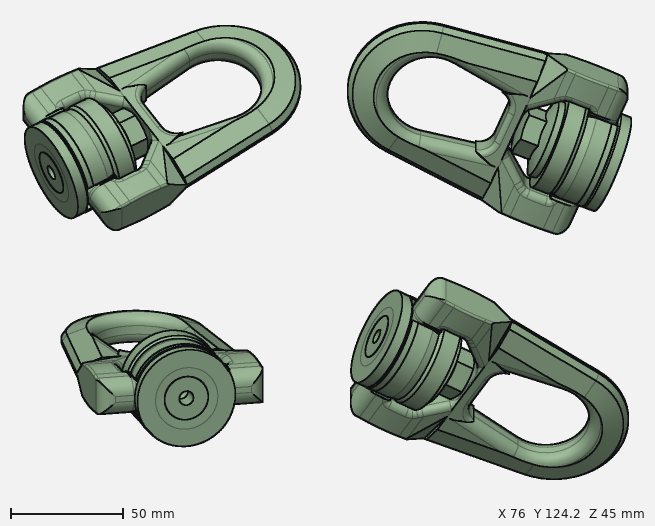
import cadquery as cq
import math


total_length = 124.2
link_half_width = 38.0

hoop_half_thickness = 7.0
hoop_outer_radius = 33.0
hoop_outer_centre_y = total_length - hoop_outer_radius
hoop_base_y = 47.0
shoulder_corner_y = 48.8
hoop_nose_half_height = 0.7
hoop_nose_rise = 3.0
hoop_nose_inset = 2.2
hoop_slope_inset = 9.3
hoop_overrun = 24.8
eye_radius = 19.3
eye_centre_y = 87.0
eye_flank_angle = 8.9
eye_rounding = 5.0

web_top_y = 53.0
web_shoulder_y = 50.3
web_half_width = 18.5
web_tip_half_width = 15.4
web_tip_y = 59.0
web_corner_radius = 7.6
web_rounding = 2.6

ramp_end_y = 37.4
ramp_end_half_thickness = 8.2
crown_y = 25.5
crown_half_thickness = 9.6
crown_radius = 74.5
leg_end_y = 6.1
leg_nose_radius = 7.0
leg_nose_flat_half = 1.4
leg_nose_half_thickness = leg_nose_radius + leg_nose_flat_half
leg_nose_y = leg_end_y + leg_nose_radius
leg_edge_rounding = 1.0
shoulder_facet_inner_x = 18.1

opening_half_width = 23.1
opening_bottom_y = 20.1
opening_top_y = 46.6
opening_flank_top_x = 10.1
opening_flank_bottom_y = 31.7
opening_top_radius = 6.2
opening_side_radius = 5.0
opening_corner_radius = 1.2
opening_rounding = 3.2

trunnion_half_thickness = 7.7
trunnion_root_x = 22.6
trunnion_neck_x = 21.2
trunnion_tip_x = 14.9

flange_radius = 22.5
barrel_radius = 22.4
groove_radius = 21.6
housing_top_y = 30.0
flange_bottom_y = 21.9
groove_y = 20.1
barrel_top_y = 16.4
rim_top_y = 9.0
housing_bottom_y = 6.0

base_radius = 22.4
base_chamfer_y = 5.0
base_chamfer = 1.1
dish_radius = 14.23
dish_depth = 0.1

shank_radius = 10.0
bolt_hole_radius = 10.0
bolt_flange_radius = 18.0
bolt_flange_top_y = 33.0
bolt_cone_angle = 20.0
hex_across_flats = 19.9
hex_corner_radius = hex_across_flats / math.sqrt(3)
hex_corner_top_y = 43.9
bolt_top_y = 45.6
bore_radius = 3.2
bore_depth = 10.0
drill_point_half_angle = 59.0


def slab_below(y):
    """Large block that fills everything below a given Y."""
    return cq.Workplane("XY").box(
        2 * total_length, total_length, total_length, centered=(True, False, True)
    ).translate((0, y - total_length, 0))


def both_sides(points):
    """Close a half outline with its mirror image across the Y axis."""
    return points + [(-x, y) for x, y in reversed(points)]


def hoop_outline():
    """Outer outline: a top arc with two tangent flanks that widen downward."""
    lean = math.radians(flank_lean())
    tangent_x = hoop_outer_radius * math.cos(lean)
    tangent_y = hoop_outer_centre_y + hoop_outer_radius * math.sin(lean)
    bottom_y = hoop_base_y - hoop_overrun
    bottom_x = tangent_x + (tangent_y - bottom_y) * math.tan(lean)
    return (
        cq.Workplane("XY")
        .moveTo(bottom_x, bottom_y)
        .lineTo(tangent_x, tangent_y)
        .threePointArc((0, total_length), (-tangent_x, tangent_y))
        .lineTo(-bottom_x, bottom_y)
        .close()
    )


def flank_lean():
    """Angle from Y, in degrees, of the outer flank tangent to the top arc."""
    drop = hoop_outer_centre_y - shoulder_corner_y
    distance = math.hypot(link_half_width, drop)
    return math.degrees(math.acos(hoop_outer_radius / distance) - math.atan2(drop, link_half_width))


def hoop_rim_half():
    """Upper half of the hoop's outer form: blunt rim, nose and gentle slope."""
    slope_rise = hoop_half_thickness - hoop_nose_half_height - hoop_nose_rise
    nose_taper = math.degrees(math.atan2(hoop_nose_inset, hoop_nose_rise))
    slope_taper = math.degrees(math.atan2(hoop_slope_inset, slope_rise))
    rim = hoop_outline().extrude(hoop_nose_half_height)
    nose = hoop_outline().extrude(hoop_nose_rise, taper=nose_taper)
    nose = nose.translate((0, 0, hoop_nose_half_height))
    slope = nose.faces(">Z").wires().toPending().workplane().extrude(
        slope_rise, taper=slope_taper, combine=False
    )
    return rim.union(nose).union(slope)


def eye_cutter(bottom_y):
    """Prism of the eye: a top arc with tangent flanks that close in downward."""
    lean = math.radians(eye_flank_angle)
    tangent_x = eye_radius * math.cos(lean)
    tangent_y = eye_centre_y - eye_radius * math.sin(lean)
    bottom_x = tangent_x - (tangent_y - bottom_y) * math.tan(lean)
    return (
        cq.Workplane("XY")
        .moveTo(bottom_x, bottom_y)
        .lineTo(tangent_x, tangent_y)
        .threePointArc((0, eye_centre_y + eye_radius), (-tangent_x, tangent_y))
        .lineTo(-bottom_x, bottom_y)
        .close()
        .extrude(hoop_half_thickness, both=True)
    )


def hoop():
    width = 2 * link_half_width
    slab = (
        cq.Workplane("XY")
        .rect(width, 2 * total_length)
        .extrude(hoop_half_thickness, both=True)
        .cut(eye_cutter(hoop_base_y - hoop_overrun))
    )
    eye_rim = cq.selectors.BoxSelector(
        (-eye_radius - 1.2, 0, -total_length), (eye_radius + 1.2, total_length - 1.2, total_length)
    )
    slab = slab.faces("<Z or >Z").edges(eye_rim).fillet(eye_rounding)
    upper = hoop_rim_half()
    form = upper.union(upper.mirror("XY"))
    trim = cq.Workplane("XY").box(
        width, total_length, total_length, centered=(True, False, True)
    ).translate((0, hoop_base_y, 0))
    bridge_space = cq.Workplane("XY").rect(2 * web_half_width, 2 * web_shoulder_y)
    trim = trim.cut(bridge_space.extrude(total_length, both=True))
    return slab.intersect(form).intersect(trim)


def web():
    """Cross bar under the eye, with horns that run up the flanks."""
    half = [
        (web_half_width, web_shoulder_y),
        (web_tip_half_width, web_tip_y),
    ]
    cutter = eye_cutter(web_top_y).edges("|Z and <Y").fillet(web_corner_radius)
    bar = (
        cq.Workplane("XY")
        .polyline(both_sides(half))
        .close()
        .extrude(hoop_half_thickness, both=True)
        .cut(cutter)
    )
    middle = cq.selectors.BoxSelector(
        (-web_tip_half_width, web_top_y - 0.1, -total_length),
        (web_tip_half_width, web_tip_y, total_length),
    )
    return bar.faces("<Z or >Z").edges(middle).fillet(web_rounding)


def leg_profile():
    """Side profile of a leg in Y and Z: ramp, ridged flank and rounded nose."""
    nose_mid = leg_nose_radius * math.sqrt(0.5)
    mid_y = leg_nose_y - nose_mid
    mid_z = leg_nose_flat_half + nose_mid
    return (
        cq.Workplane("YZ", origin=(-link_half_width, 0, 0))
        .moveTo(web_top_y, hoop_half_thickness)
        .lineTo(hoop_base_y, hoop_half_thickness)
        .lineTo(ramp_end_y, ramp_end_half_thickness)
        .lineTo(crown_y, crown_half_thickness)
        .lineTo(leg_nose_y, leg_nose_half_thickness)
        .threePointArc((mid_y, mid_z), (leg_end_y, leg_nose_flat_half))
        .lineTo(leg_end_y, -leg_nose_flat_half)
        .threePointArc((mid_y, -mid_z), (leg_nose_y, -leg_nose_half_thickness))
        .lineTo(crown_y, -crown_half_thickness)
        .lineTo(ramp_end_y, -ramp_end_half_thickness)
        .lineTo(hoop_base_y, -hoop_half_thickness)
        .lineTo(web_top_y, -hoop_half_thickness)
        .close()
    )


def shoulder_facet_cutter():
    """Half space above the slanted facet of the shoulder at +X and +Z."""
    inner = cq.Vector(shoulder_facet_inner_x, hoop_base_y, hoop_half_thickness)
    lower = cq.Vector(link_half_width - leg_edge_rounding, ramp_end_y, ramp_end_half_thickness)
    outer = cq.Vector(link_half_width, hoop_base_y, hoop_nose_half_height)
    normal = (lower - outer).cross(inner - outer)
    if normal.z < 0:
        normal = normal * -1
    return (
        cq.Workplane(cq.Plane(outer, lower - outer, normal))
        .rect(total_length, total_length)
        .extrude(total_length)
        .intersect(slab_below(hoop_base_y))
    )


def profile_edges(y):
    """Selects the edges along X at one Y of the leg profile."""
    return cq.selectors.BoxSelector((-1.2, y - 0.2, -total_length), (1.2, y + 0.2, total_length))


def opening_rim():
    """Selects the rim edges of the housing opening on both faces of the legs."""
    reach = opening_half_width + 0.1
    low, high = opening_bottom_y - 0.1, opening_top_y + 0.1
    inner_z = hoop_half_thickness / 2
    upper = cq.selectors.BoxSelector((-reach, low, inner_z), (reach, high, total_length))
    lower = cq.selectors.BoxSelector((-reach, low, -total_length), (reach, high, -inner_z))
    return upper + lower


def bridge_side_cutter():
    """Block that trims the legs beside the web, above the hoop base."""
    return cq.Workplane("XY").box(
        total_length, total_length, total_length, centered=(False, False, True)
    ).translate((web_half_width, hoop_base_y, 0))


def legs():
    """Both legs and the bridge between them, around the rounded housing opening."""
    block = leg_profile().extrude(2 * link_half_width)
    block = block.edges(profile_edges(crown_y)).fillet(crown_radius)
    block = block.faces("<X or >X").edges("not >Y").fillet(leg_edge_rounding)

    corners = (
        cq.Workplane("XY")
        .rect(2 * link_half_width, 2 * (total_length - leg_end_y))
        .extrude(total_length, both=True)
        .translate((0, total_length, 0))
        .edges("|Z and <Y")
        .fillet(leg_nose_radius)
    )
    block = block.intersect(corners).cut(opening_cutter())
    block = block.edges(opening_rim()).fillet(opening_rounding)

    block = block.intersect(slab_below(web_shoulder_y))
    housing_space = cq.Workplane("XY").rect(2 * trunnion_root_x, 2 * opening_bottom_y + 1.2)
    block = block.cut(housing_space.extrude(total_length, both=True))
    facet = shoulder_facet_cutter()
    for cutter in (facet, facet.mirror("XY"), bridge_side_cutter()):
        block = block.cut(cutter).cut(cutter.mirror("YZ"))
    return block


def opening_cutter():
    half = [
        (opening_half_width, opening_bottom_y),
        (opening_half_width, opening_flank_bottom_y),
        (opening_flank_top_x, opening_top_y),
    ]
    return (
        cq.Workplane("XY")
        .polyline(both_sides(half))
        .close()
        .extrude(total_length, both=True)
        .edges("|Z and >Y")
        .fillet(opening_top_radius)
        .edges(cq.selectors.BoxSelector((-24.8, 31.1, -1.2), (24.8, 32.3, 1.2)))
        .fillet(opening_side_radius)
        .edges("|Z and <Y")
        .fillet(opening_corner_radius)
    )


def trunnion_profile(x, half_thickness):
    """Round-nosed cross-section of a trunnion at a distance x from the bolt axis."""
    nose_radius = half_thickness - leg_nose_flat_half
    nose_mid = nose_radius * math.sqrt(0.5)
    nose_y = leg_end_y + nose_radius
    return (
        cq.Workplane("YZ", origin=(x, 0, 0))
        .moveTo(opening_bottom_y, half_thickness)
        .lineTo(nose_y, half_thickness)
        .threePointArc((nose_y - nose_mid, leg_nose_flat_half + nose_mid), (leg_end_y, leg_nose_flat_half))
        .lineTo(leg_end_y, -leg_nose_flat_half)
        .threePointArc((nose_y - nose_mid, -leg_nose_flat_half - nose_mid), (nose_y, -half_thickness))
        .lineTo(opening_bottom_y, -half_thickness)
        .close()
    )


def trunnion():
    """Trunnion of the leg at +X with its tapered neck."""
    neck_end = trunnion_profile(trunnion_neck_x, trunnion_half_thickness)
    root = trunnion_profile(trunnion_root_x, leg_nose_half_thickness)
    neck = cq.Workplane(cq.Solid.makeLoft([neck_end.wire().val(), root.wire().val()], True))
    pin = trunnion_profile(trunnion_tip_x, trunnion_half_thickness).extrude(trunnion_neck_x - trunnion_tip_x)
    return pin.union(neck)


def make_link():
    link = legs().union(hoop()).union(web())
    pin = trunnion()
    return link.union(pin).union(pin.mirror("YZ"))


def revolved(half_section):
    """Revolve a closed (radius, y) outline about the Y axis."""
    return (
        cq.Workplane("XY")
        .polyline(half_section)
        .close()
        .revolve(360, (0, 0, 0), (0, 1, 0))
    )


def housing_slot():
    """Slot for the trunnion at +X, open toward the base."""
    width = 2 * trunnion_half_thickness
    return (
        cq.Workplane("YZ", origin=(trunnion_tip_x, 0, 0))
        .rect(2 * opening_bottom_y, width)
        .extrude(total_length)
    )


def make_housing():
    """Barrel with a top flange, a waisted groove, a lower rim and two trunnion slots."""
    barrel = revolved([
        (bolt_hole_radius, housing_bottom_y),
        (flange_radius, housing_bottom_y),
        (flange_radius, rim_top_y),
        (barrel_radius, rim_top_y),
        (barrel_radius, barrel_top_y),
        (groove_radius, groove_y),
        (flange_radius, flange_bottom_y),
        (flange_radius, housing_top_y),
        (bolt_hole_radius, housing_top_y),
    ])
    slot = housing_slot()
    return barrel.cut(slot).cut(slot.mirror("YZ"))


def make_base():
    """Ring with a chamfered upper edge and a shallow dish around the bolt hole."""
    return revolved([
        (bolt_hole_radius, dish_depth),
        (dish_radius, 0),
        (base_radius, 0),
        (base_radius, base_chamfer_y),
        (base_radius - base_chamfer, housing_bottom_y),
        (bolt_hole_radius, housing_bottom_y),
    ])


def hex_head():
    """Hexagon with corners at +Z and -Z, under a shallow domed top."""
    height = bolt_top_y - bolt_flange_top_y
    rise = bolt_top_y - hex_corner_top_y
    dome_radius = (hex_corner_radius**2 + rise**2) / (2 * rise)
    hexagon = (
        cq.Workplane("XZ", origin=(0, bolt_top_y, 0))
        .polygon(6, 2 * hex_corner_radius)
        .extrude(height)
        .rotate((0, 0, 0), (0, 1, 0), 30)
    )
    return hexagon.intersect(
        cq.Workplane("XY").sphere(dome_radius).translate((0, bolt_top_y - dome_radius, 0))
    )


def make_bolt():
    """Shank, conical flange and domed hexagon head, with a blind bore in the lower end."""
    cone_rise = bolt_flange_radius * math.tan(math.radians(bolt_cone_angle))
    shank_and_flange = revolved([
        (0, 0),
        (shank_radius, 0),
        (shank_radius, housing_top_y),
        (bolt_flange_radius, housing_top_y),
        (bolt_flange_radius, bolt_flange_top_y),
        (0, bolt_flange_top_y + cone_rise),
    ])
    drill_tip_y = bore_depth + bore_radius / math.tan(math.radians(drill_point_half_angle))
    bore = revolved([
        (0, 0),
        (bore_radius, 0),
        (bore_radius, bore_depth),
        (0, drill_tip_y),
    ])
    return shank_and_flange.union(hex_head()).cut(bore)


link = make_link()
housing = make_housing()
base = make_base()
bolt = make_bolt()

result = cq.Compound.makeCompound([link.val(), housing.val(), base.val(), bolt.val()])